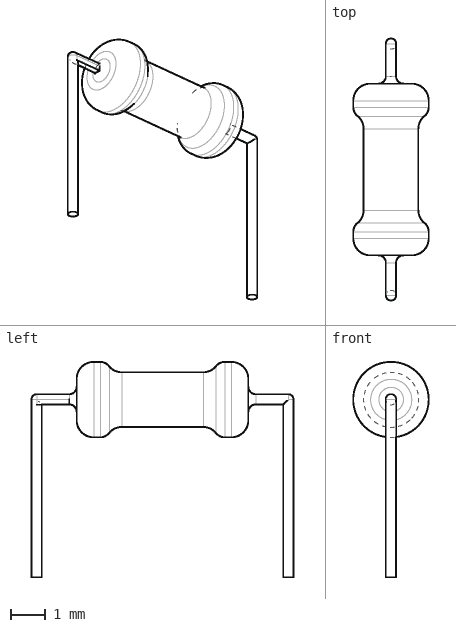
import cadquery as cq
import math

overall_length = 7.6
overall_height = 6.25
body_length = 4.985
body_diameter = 2.2
neck_radius = 0.8
end_rounding = 0.5
rim_width = 0.18
shoulder_width = 0.26
hollow_width = 0.365
lead_radius = 0.15
lead_rise = 0.01
lead_flare = 0.205

body_radius = body_diameter / 2

body_end = body_length / 2
rim_outer = body_end - end_rounding
rim_inner = rim_outer - rim_width
hollow_start = rim_inner - shoulder_width
neck_end = hollow_start - hollow_width
lead_y = overall_length / 2 - lead_radius
flare_end = body_end + lead_flare
lead_bottom = body_radius - overall_height

transition_width = shoulder_width + hollow_width
transition_angle = 2 * math.atan((body_radius - neck_radius) / transition_width)
shoulder_radius = shoulder_width / math.sin(transition_angle)
hollow_radius = hollow_width / math.sin(transition_angle)


def point_on_arc(center_y, center_radius, arc_radius, angle):
    """Point at an angle from the outward radial direction, turning toward +Y."""
    return (
        center_radius + arc_radius * math.cos(angle),
        center_y + arc_radius * math.sin(angle),
    )


def make_body():
    """Revolved end bulges on either side of a plain cylindrical neck."""
    shoulder_center = (rim_inner, body_radius - shoulder_radius, shoulder_radius)
    hollow_center = (neck_end, neck_radius + hollow_radius, -hollow_radius)
    end_center = (rim_outer, body_radius - end_rounding, end_rounding)
    bulge = (
        cq.Workplane("XY")
        .moveTo(0, neck_end)
        .lineTo(neck_radius, neck_end)
        .threePointArc(
            point_on_arc(*hollow_center, -transition_angle / 2),
            point_on_arc(*hollow_center, -transition_angle),
        )
        .threePointArc(
            point_on_arc(*shoulder_center, -transition_angle / 2),
            (body_radius, rim_inner),
        )
        .lineTo(body_radius, rim_outer)
        .threePointArc(
            point_on_arc(*end_center, math.pi / 4),
            (body_radius - end_rounding, body_end),
        )
        .lineTo(0, body_end)
        .close()
        .revolve(360, (0, 0), (0, 1))
    )
    neck = cq.Workplane("XZ", origin=(0, neck_end, 0)).circle(neck_radius).extrude(2 * neck_end)
    return neck.union(bulge).union(bulge.mirror("XZ"))


def make_flare():
    """Concave root that spreads the lead out onto the +Y body face."""
    flare_radius = lead_radius + lead_flare
    flare_center = (flare_end, flare_radius, -lead_flare)
    return (
        cq.Workplane("XY", origin=(0, 0, lead_rise))
        .moveTo(0, body_end)
        .lineTo(flare_radius, body_end)
        .threePointArc(
            point_on_arc(*flare_center, math.pi / 4),
            (lead_radius, flare_end),
        )
        .lineTo(0, flare_end)
        .close()
        .revolve(360, (0, 0), (0, 1))
    )


def make_run(square_edge):
    """Straight run along Y, round or with its lower -X quarter left square."""
    section = cq.Workplane("XZ", origin=(0, lead_y, lead_rise))
    if square_edge:
        diagonal = lead_radius / math.sqrt(2)
        section = (
            section.moveTo(-lead_radius, 0)
            .lineTo(-lead_radius, -lead_radius)
            .lineTo(0, -lead_radius)
            .threePointArc((diagonal, diagonal), (-lead_radius, 0))
            .close()
        )
    else:
        section = section.circle(lead_radius)
    return section.extrude(lead_y - flare_end)


def make_lead(square_edge):
    """Lead at the +Y end: flared root, straight run, ball corner and leg."""
    corner = cq.Workplane("XY").sphere(lead_radius).translate((0, lead_y, lead_rise))
    leg = (
        cq.Workplane("XY", origin=(0, lead_y, lead_bottom))
        .circle(lead_radius)
        .extrude(lead_rise - lead_bottom)
    )
    return make_run(square_edge).union(leg).union(corner).union(make_flare())


far_lead = make_lead(square_edge=True)
near_lead = make_lead(square_edge=False).mirror("XZ")
result = make_body().union(far_lead).union(near_lead)